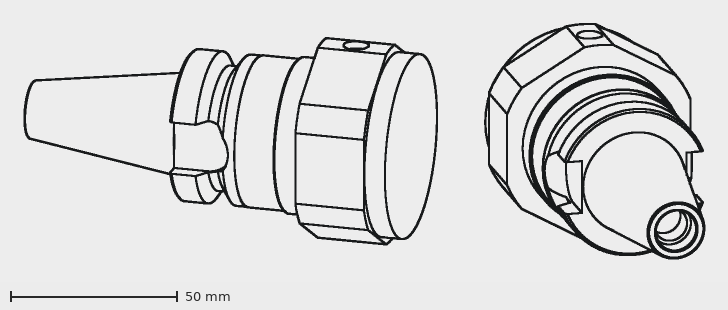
import cadquery as cq
import math

tip_chamfer = 0.4
taper_end = 48.5
flange_start = 49.1
flange_end = 57.3
groove_start = 60.0
groove_end = 63.1
shoulder_start = 66.0
body_start = 69.8
collar_start = 82.1
nut_start = 90.5
nut_end = 112.0
length = 118.4

taper_diameter = 31.7
taper_ratio = 7 / 24
flange_diameter = 45.9
groove_diameter = 37.9
shoulder_diameter = 45.7
body_diameter = 45.9
collar_diameter = 47.3
end_diameter = 55.9
flange_chamfer = 0.7
collar_chamfer = 0.5

nut_across_flats = 56.9
nut_corner_diameter = 61.2
pin_hole_diameter = 7.6
pin_hole_depth = 2.4
drill_point_angle = 118.0

mouth_diameter = 13.3
mouth_depth = 0.4
bore_diameter = 12.5
bore_depth = 6.5
inner_bore_diameter = 10.2
inner_bore_depth = 14.2

slot_width = 16.3
slot_floor = 16.2
slot_end = 67.8


def revolve_about_x(outline):
    return cq.Workplane("XY").polyline(outline).close().revolve(360, (0, 0, 0), (1, 0, 0))


def turned_body():
    tip_radius = (taper_diameter - taper_ratio * taper_end) / 2
    outline = [
        (0, 0),
        (0, tip_radius - tip_chamfer),
        (tip_chamfer, tip_radius + taper_ratio * tip_chamfer / 2),
        (taper_end, taper_diameter / 2),
        (flange_start, taper_diameter / 2),
        (flange_start, flange_diameter / 2 - flange_chamfer),
        (flange_start + flange_chamfer, flange_diameter / 2),
        (flange_end, flange_diameter / 2),
        (groove_start, groove_diameter / 2),
        (groove_end, groove_diameter / 2),
        (shoulder_start, shoulder_diameter / 2),
        (body_start, shoulder_diameter / 2),
        (body_start, body_diameter / 2),
        (collar_start, body_diameter / 2),
        (collar_start, collar_diameter / 2 - collar_chamfer),
        (collar_start + collar_chamfer, collar_diameter / 2),
        (nut_start, collar_diameter / 2),
        (nut_start, end_diameter / 2),
        (length, end_diameter / 2),
        (length, 0),
    ]
    return revolve_about_x(outline)


def nut():
    width = nut_end - nut_start
    plane = cq.Workplane("YZ").workplane(offset=nut_start)
    hexagon_diameter = nut_across_flats / math.cos(math.radians(30))
    hexagon = plane.transformed(rotate=(0, 0, 90)).polygon(6, hexagon_diameter).extrude(width)
    return hexagon.intersect(plane.circle(nut_corner_diameter / 2).extrude(width))


def bore():
    return revolve_about_x([
        (0, 0),
        (0, mouth_diameter / 2),
        (mouth_depth, bore_diameter / 2),
        (bore_depth, bore_diameter / 2),
        (bore_depth, inner_bore_diameter / 2),
        (inner_bore_depth, inner_bore_diameter / 2),
        (inner_bore_depth, 0),
    ])


def pin_hole():
    center_x = (nut_start + nut_end) / 2
    radius = pin_hole_diameter / 2
    top = nut_corner_diameter / 2
    shoulder = top - pin_hole_depth
    point = shoulder - radius / math.tan(math.radians(drill_point_angle / 2))
    outline = [(0, top), (radius, top), (radius, shoulder), (0, point)]
    hole = cq.Workplane("XZ").polyline(outline).close().revolve(360, (0, 0, 0), (0, 1, 0))
    return hole.translate((center_x, 0, 0))


def drive_slot():
    depth = flange_diameter / 2 - slot_floor
    round_center = slot_end - slot_width / 2
    straight = round_center - flange_start
    plane = cq.Workplane("XZ", origin=(0, flange_diameter / 2, 0))
    channel = plane.center(flange_start + straight / 2, 0).rect(straight, slot_width).extrude(depth)
    return channel.union(plane.center(round_center, 0).circle(slot_width / 2).extrude(depth))


slot = drive_slot()
result = turned_body().union(nut()).cut(bore()).cut(pin_hole())
result = result.cut(slot).cut(slot.mirror("XZ"))